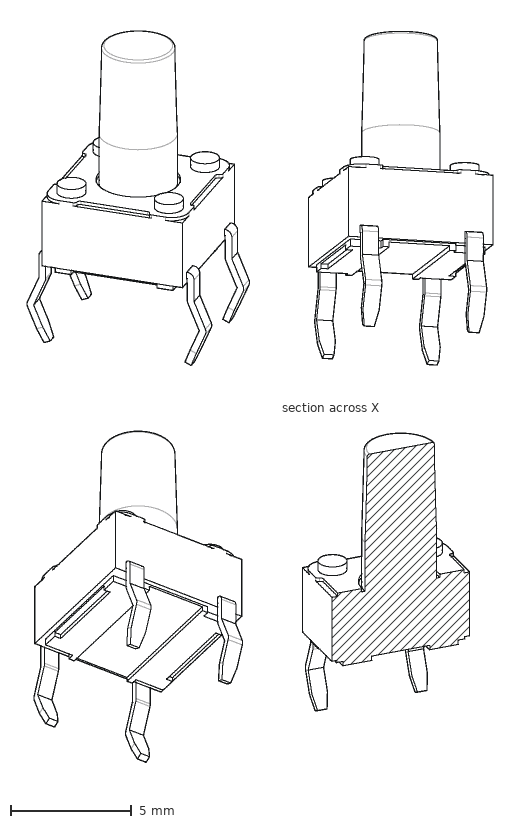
import cadquery as cq
import math


body_width = 6.2
body_bottom = 0.3
body_top = 3.25

cover_thickness = 0.15
cover_top = body_top + cover_thickness
cover_corner_radius = 0.75
cover_notch_depth = 0.25
cover_notch_half_length = 1.725
cover_notch_radius = cover_notch_depth / 2
knob_hole_diameter = 3.5

peg_diameter = 1.2
peg_offset = 2.15
peg_height = 0.4

knob_diameter = 3.25
knob_tip_diameter = 3.04
knob_taper_start = 5.5
knob_top = 9.5
knob_edge_radius = 0.1

base_width = 5.78
relief_depth = 0.2
channel_half_width = 1.3
recess_depth = 0.29
corner_notch_start = 1.56
side_recess_half_length = 1.89

lead_thickness = 0.3
lead_width = 0.7
lead_offset = 2.25
lead_span = 7.9
lead_bottom = -3.5
lead_gap = 0.025
lead_shoulder = 0.49
lead_embed = 0.2
lead_bend = -0.5
lead_knee = -1.79
lead_tip_width = 0.43
lead_taper_length = 0.71


def box_between(x_range, y_range, z_range):
    """Axis-aligned box between pairs of limits."""
    size = [high - low for low, high in (x_range, y_range, z_range)]
    corner = (x_range[0], y_range[0], z_range[0])
    return cq.Workplane("XY").box(*size, centered=False).translate(corner)


def make_cover_notch():
    """S-ended notch on the -Y edge of the cover."""
    edge = -body_width / 2
    floor = edge + cover_notch_depth
    middle = edge + cover_notch_radius
    mouth = cover_notch_half_length
    wall = mouth - cover_notch_radius
    inner = wall - cover_notch_radius
    return (
        cq.Workplane("XY")
        .workplane(offset=body_top)
        .moveTo(-mouth, edge)
        .radiusArc((-wall, middle), -cover_notch_radius)
        .radiusArc((-inner, floor), cover_notch_radius)
        .lineTo(inner, floor)
        .radiusArc((wall, middle), cover_notch_radius)
        .radiusArc((mouth, edge), -cover_notch_radius)
        .close()
        .extrude(cover_thickness)
    )


def make_cover():
    """Rounded cover plate, notched on each side, with the knob hole."""
    cover = (
        cq.Workplane("XY")
        .workplane(offset=body_top)
        .rect(body_width, body_width)
        .extrude(cover_thickness)
        .edges("|Z")
        .fillet(cover_corner_radius)
    )
    knob_hole = (
        cq.Workplane("XY")
        .workplane(offset=body_top)
        .circle(knob_hole_diameter / 2)
        .extrude(cover_thickness)
    )
    cover = cover.cut(knob_hole)
    notch = make_cover_notch()
    for quarter in range(4):
        cover = cover.cut(notch.rotate((0, 0, 0), (0, 0, 1), 90 * quarter))
    return cover


def make_pegs():
    """Four round pegs standing on the cover."""
    return (
        cq.Workplane("XY")
        .workplane(offset=cover_top)
        .rect(2 * peg_offset, 2 * peg_offset, forConstruction=True)
        .vertices()
        .circle(peg_diameter / 2)
        .extrude(peg_height)
    )


def make_knob():
    """Turned knob rising from the housing through the cover hole."""
    return (
        cq.Workplane("XZ")
        .moveTo(0, body_top)
        .lineTo(knob_diameter / 2, body_top)
        .lineTo(knob_diameter / 2, knob_taper_start)
        .lineTo(knob_tip_diameter / 2, knob_top)
        .lineTo(0, knob_top)
        .close()
        .revolve(360, (0, 0), (0, 1))
        .faces(">Z")
        .edges()
        .fillet(knob_edge_radius)
    )


def make_base():
    """Base pad with a central channel, side recesses and corner notches."""
    edge = base_width / 2
    inner_edge = edge - recess_depth
    base = box_between((-edge, edge), (-edge, edge), (0, body_bottom))
    channel = box_between((-edge, edge), (-channel_half_width, channel_half_width), (0, relief_depth))
    base = base.cut(channel)
    side_recess = box_between(
        (-side_recess_half_length, side_recess_half_length), (-edge, -inner_edge), (0, relief_depth)
    )
    corner_notch = box_between((-edge, -inner_edge), (-edge, -corner_notch_start), (0, body_bottom))
    corner_notch = corner_notch.union(corner_notch.mirror("YZ"))
    front_cuts = side_recess.union(corner_notch)
    return base.cut(front_cuts).cut(front_cuts.mirror("XZ"))


def make_lead():
    """Lead on the -X side at +Y: shoulder, outward leg, knee and tapered inward blade."""
    inner_x = -body_width / 2 - lead_gap
    outer_x = inner_x - lead_thickness
    root_x = -body_width / 2 + lead_embed
    knee_x = -lead_span / 2 + lead_thickness

    run = outer_x - knee_x
    drop = lead_bend - lead_knee
    slope = math.atan2(run, drop) + math.asin(lead_thickness / math.hypot(run, drop))
    offset_x = lead_thickness * math.cos(slope)
    offset_z = lead_thickness * math.sin(slope)

    upper = (
        cq.Workplane("XZ", origin=(0, lead_offset, 0))
        .moveTo(root_x, lead_shoulder)
        .lineTo(root_x, lead_shoulder + lead_thickness)
        .lineTo(inner_x, lead_shoulder + lead_thickness)
        .radiusArc((outer_x, lead_shoulder), -lead_thickness)
        .lineTo(outer_x, lead_bend)
        .lineTo(knee_x - offset_x, lead_knee + offset_z)
        .radiusArc((knee_x - offset_x, lead_knee - offset_z), -lead_thickness)
        .lineTo(knee_x, lead_knee)
        .lineTo(outer_x + offset_x, lead_bend - offset_z)
        .radiusArc((inner_x, lead_bend), -lead_thickness)
        .lineTo(inner_x, lead_shoulder)
        .close()
        .extrude(lead_width / 2, both=True)
    )

    blade_length = (lead_knee - lead_bottom - offset_z) / math.cos(slope)
    taper_start = blade_length - lead_taper_length
    blade_plane = cq.Plane(
        origin=(knee_x, lead_offset, lead_knee),
        xDir=(0, 1, 0),
        normal=(-math.cos(slope), 0, -math.sin(slope)),
    )
    blade = (
        cq.Workplane(blade_plane)
        .moveTo(-lead_width / 2, 0)
        .lineTo(lead_width / 2, 0)
        .lineTo(lead_width / 2, taper_start)
        .lineTo(lead_tip_width / 2, blade_length)
        .lineTo(-lead_tip_width / 2, blade_length)
        .lineTo(-lead_width / 2, taper_start)
        .close()
        .extrude(lead_thickness)
    )
    return upper.union(blade)


def make_leads():
    """Four leads, mirrored about both centre planes."""
    side_pair = make_lead()
    side_pair = side_pair.union(side_pair.mirror("XZ"))
    return side_pair.union(side_pair.mirror("YZ"))


half_body = body_width / 2
body = box_between((-half_body, half_body), (-half_body, half_body), (body_bottom, body_top))
result = body
for component in (make_cover(), make_pegs(), make_knob(), make_base(), make_leads()):
    result = result.union(component)